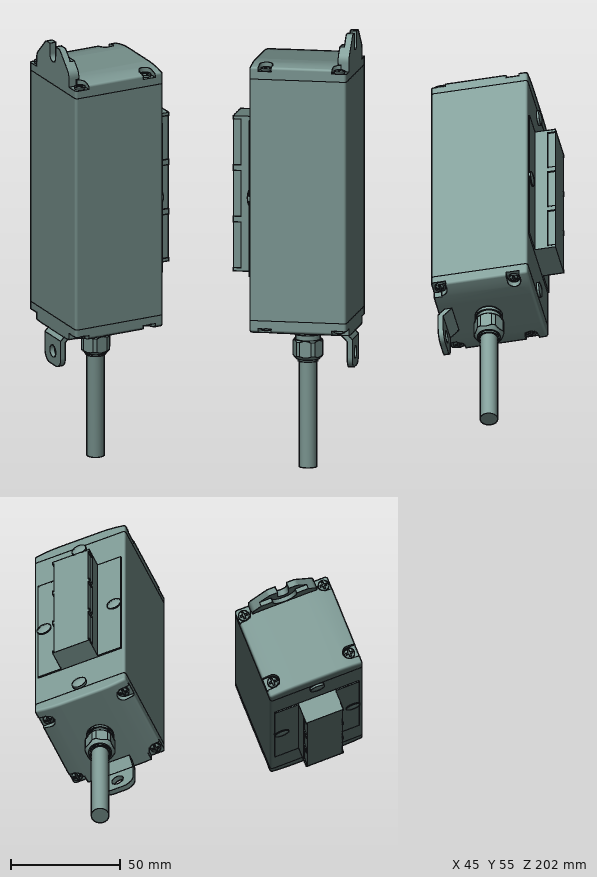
import cadquery as cq
import math


width = 45.0
depth = 44.8
housing_bottom = 71.0
housing_top = 183.0
corner_radius = 1.2

cap_height = 7.0
flat_half_width = 10.0
crown_radius = 44.5

pocket_floor = 3.6
pocket_radius = 3.0
rear_screw_inset = 3.8
rear_screw_y = 37.8
front_screw_inset = 3.0
front_screw_y = 3.6
head_radius = 2.5
head_height = 1.6
cross_length = 3.2
cross_width = 0.8
cross_depth = 0.8

hanger_top = 202.0
hanger_half_width = 15.7
hanger_tip_half_width = 6.7
hanger_thickness = 5.0
hanger_corner_radius = 5.0
hanger_tip_radius = 2.0
slot_width = 5.5
slot_depth = 8.0
seat_radius = 5.9
seat_shelf_z = 197.0
seat_depth = 2.0

tab_width = 15.3
tab_thickness = 2.5
tab_bottom = 47.5
tab_bend_z = 61.0
tab_corner_radius = 4.8
tab_hole_z = 54.0
tab_hole_diameter = 5.7

cable_y = 22.0
cable_radius = 4.0
collar_radius = 4.6
collar_bottom = 49.0
nut_bottom = 50.0
nut_chamfer_top = 51.9
nut_shoulder_z = 58.3
nut_top = 59.2
nut_chamfer_radius = 5.2
nut_top_radius = 6.3
nut_across_flats = 12.7
nut_outer_radius = 6.9
neck_radius = 5.7
ring_radius = 6.3
ring_bottom = 61.5
ring_top = 63.2

block_width = 18.2
block_bottom = 91.0
block_length = 71.9
block_back = 55.0
flange_width = 41.2
flange_thickness = 0.6
panel_count = 3
panel_length = 21.2
panel_pitch = 23.8
panel_reach = 3.6
panel_recess = 0.6
back_head_radius = 3.5
back_head_height = 1.8
side_screw_x = 17.4

shoulder_share = 0.6

overlap = 1.0


def box(x_min, x_max, y_min, y_max, z_min, z_max):
    size = (x_max - x_min, y_max - y_min, z_max - z_min)
    return cq.Workplane().box(*size, centered=False).translate((x_min, y_min, z_min))


def domed_head(radius, height):
    """Round screw head standing on Z = 0, rounded over above a straight shoulder."""
    shoulder = height * shoulder_share
    dome = height - shoulder
    sphere_radius = (radius**2 + dome**2) / (2 * dome)
    half_angle = math.asin(radius / sphere_radius) / 2
    mid_x = sphere_radius * math.sin(half_angle)
    mid_z = height - sphere_radius * (1 - math.cos(half_angle))
    profile = (
        cq.Workplane("XZ")
        .lineTo(radius, 0)
        .lineTo(radius, shoulder)
        .threePointArc((mid_x, mid_z), (0, height))
        .close()
    )
    return profile.revolve(360, (0, 0, 0), (0, 1, 0))


def cross_head_screw():
    head = domed_head(head_radius, head_height)
    floor = head_height - cross_depth
    for length, breadth in ((cross_length, cross_width), (cross_width, cross_length)):
        arm = cq.Workplane(origin=(0, 0, floor)).rect(length, breadth).extrude(head_height)
        head = head.cut(arm)
    return head


def cap_blank():
    """Cap standing on Z = 0, with a flat crown that curves down to both sides."""
    half = width / 2
    center_z = cap_height - crown_radius

    def crown_z(x):
        return center_z + math.sqrt(crown_radius**2 - (x - flat_half_width) ** 2)

    mid = (flat_half_width + half) / 2
    blank = (
        cq.Workplane("XZ")
        .moveTo(-half, 0)
        .lineTo(half, 0)
        .lineTo(half, crown_z(half))
        .threePointArc((mid, crown_z(mid)), (flat_half_width, cap_height))
        .lineTo(-flat_half_width, cap_height)
        .threePointArc((-mid, crown_z(mid)), (-half, crown_z(half)))
        .close()
        .extrude(-depth)
    )
    side_rims = blank.faces("<X or >X").edges(">Z").vals()
    back_rims = blank.faces(">Y").edges("not(|Z or <Z)").vals()
    uprights = blank.edges("|Z").vals()
    return blank.newObject(side_rims + back_rims + uprights).fillet(corner_radius)


def screw_pocket(x, y, open_to_front):
    """Pocket around a cap screw, open to the nearer side and, if asked, to the front."""
    side = math.copysign(width / 2 + overlap, x)
    top = cap_height + overlap
    pocket = cq.Workplane().circle(pocket_radius).extrude(top - pocket_floor).translate((x, y, pocket_floor))
    pocket = pocket.union(
        box(min(x, side), max(x, side), y - pocket_radius, y + pocket_radius, pocket_floor, top)
    )
    if open_to_front:
        inner = math.copysign(hanger_half_width, x)
        pocket = pocket.union(box(min(inner, side), max(inner, side), -overlap, y, pocket_floor, top))
    return pocket


def end_cap():
    """Cap with its four recessed screws, standing on Z = 0."""
    cap = cap_blank()
    for sign in (-1, 1):
        rear = (sign * (width / 2 - rear_screw_inset), rear_screw_y)
        front = (sign * (width / 2 - front_screw_inset), front_screw_y)
        for (x, y), open_to_front in ((rear, False), (front, True)):
            cap = cap.cut(screw_pocket(x, y, open_to_front))
            cap = cap.union(cross_head_screw().translate((x, y, pocket_floor)))
    return cap


def hanger():
    """Flat lug with 45-degree shoulders, an open slot and a stepped seat behind the slot."""
    root = housing_top + pocket_floor
    shoulder_z = hanger_top - (hanger_half_width - hanger_tip_half_width)
    plate = (
        cq.Workplane("XZ")
        .moveTo(-hanger_half_width, root)
        .lineTo(hanger_half_width, root)
        .lineTo(hanger_half_width, shoulder_z)
        .lineTo(hanger_tip_half_width, hanger_top)
        .lineTo(-hanger_tip_half_width, hanger_top)
        .lineTo(-hanger_half_width, shoulder_z)
        .close()
        .extrude(-hanger_thickness)
    )
    plate = plate.edges("|Y and (not >Z) and (not <Z)").fillet(hanger_corner_radius)
    plate = plate.edges("|Y").edges(">Z").fillet(hanger_tip_radius)

    slot_end_z = hanger_top - slot_depth + slot_width / 2
    slot = cq.Workplane("XZ").center(0, slot_end_z).circle(slot_width / 2).extrude(-hanger_thickness)
    slot = slot.union(
        box(-slot_width / 2, slot_width / 2, 0, hanger_thickness, slot_end_z, hanger_top + overlap)
    )
    seat_front = hanger_thickness - seat_depth
    seat = cq.Workplane("XZ", origin=(0, seat_front, slot_end_z)).circle(seat_radius).extrude(-seat_depth)
    seat = seat.union(
        box(-width / 2, width / 2, seat_front, hanger_thickness, seat_shelf_z, hanger_top + overlap)
    )
    return plate.cut(slot).cut(seat)


def tab():
    """Tab that leaves the lower cap at 45 degrees, then hangs flush with the front face."""
    root_z = housing_bottom - cap_height + overlap
    root_y = root_z - tab_bend_z
    inner_bend_z = tab_bend_z - tab_thickness * math.tan(math.pi / 8)
    root_thickness = tab_thickness * math.sqrt(2)
    plate = (
        cq.Workplane("YZ")
        .polyline(
            [
                (0, tab_bottom),
                (tab_thickness, tab_bottom),
                (tab_thickness, inner_bend_z),
                (root_y + root_thickness, root_z),
                (root_y, root_z),
                (0, tab_bend_z),
            ]
        )
        .close()
        .extrude(tab_width / 2, both=True)
    )
    plate = plate.edges("|Y").edges("<Z").fillet(tab_corner_radius)
    hole = cq.Workplane("XZ").center(0, tab_hole_z).circle(tab_hole_diameter / 2).extrude(-tab_thickness)
    return plate.cut(hole)


def gland_step(radius, z_min, z_max):
    return cq.Workplane(origin=(0, cable_y, z_min)).circle(radius).extrude(z_max - z_min)


def gland_nut():
    """Hexagonal nut with blunted corners and both ends chamfered."""
    across_corners = nut_across_flats / math.cos(math.pi / 6)
    hexagon = cq.Workplane(origin=(0, cable_y, nut_bottom)).transformed(rotate=(0, 0, 90))
    hexagon = hexagon.polygon(6, across_corners).extrude(nut_top - nut_bottom)
    envelope = (
        cq.Workplane("XZ", origin=(0, cable_y, 0))
        .polyline(
            [
                (0, nut_bottom),
                (nut_chamfer_radius, nut_bottom),
                (nut_outer_radius, nut_chamfer_top),
                (nut_outer_radius, nut_shoulder_z),
                (nut_top_radius, nut_top),
                (0, nut_top),
            ]
        )
        .close()
        .revolve(360, (0, 0, 0), (0, 1, 0))
    )
    return hexagon.intersect(envelope)


def cable_and_gland():
    cap_bottom = housing_bottom - cap_height
    cable = gland_step(cable_radius, 0, nut_bottom)
    cable = cable.union(gland_step(collar_radius, collar_bottom, nut_bottom))
    cable = cable.union(gland_nut())
    cable = cable.union(gland_step(neck_radius, nut_top, cap_bottom))
    return cable.union(gland_step(ring_radius, ring_bottom, ring_top))


def back_block():
    """Block on a thin flange, with a row of shallow panels recessed into both sides."""
    block_top = block_bottom + block_length
    middle_z = (block_bottom + block_top) / 2
    half = block_width / 2
    block = box(-half, half, depth, block_back, block_bottom, block_top)
    for row in range(panel_count):
        z = middle_z + (row - (panel_count - 1) / 2) * panel_pitch
        for sign in (-1, 1):
            panel = cq.Workplane().box(2 * panel_recess, 2 * panel_reach, panel_length)
            block = block.cut(panel.translate((sign * half, block_back, z)))
    flange_half = flange_width / 2
    flange = box(-flange_half, flange_half, depth, depth + flange_thickness, block_bottom, block_top)
    return block.union(flange)


def back_screws():
    """One screw near each end of the housing and one on each side of the block."""
    middle_z = block_bottom + block_length / 2
    places = [
        (0, housing_bottom + back_head_radius),
        (0, housing_top - back_head_radius),
        (-side_screw_x, middle_z),
        (side_screw_x, middle_z),
    ]
    head = domed_head(back_head_radius, back_head_height).rotate((0, 0, 0), (1, 0, 0), -90)
    return [head.translate((x, depth, z)) for x, z in places]


def make_housing():
    body = box(-width / 2, width / 2, 0, depth, housing_bottom, housing_top)
    body = body.edges("|Z").fillet(corner_radius)
    body = body.union(back_block())
    for screw in back_screws():
        body = body.union(screw)
    return body


def make_upper_cap():
    return end_cap().translate((0, 0, housing_top)).union(hanger())


def make_lower_cap():
    cap = end_cap().mirror("XY").translate((0, 0, housing_bottom))
    return cap.union(tab()).union(cable_and_gland())


housing = make_housing()
upper_cap = make_upper_cap()
lower_cap = make_lower_cap()

result = cq.Compound.makeCompound([housing.val(), upper_cap.val(), lower_cap.val()])